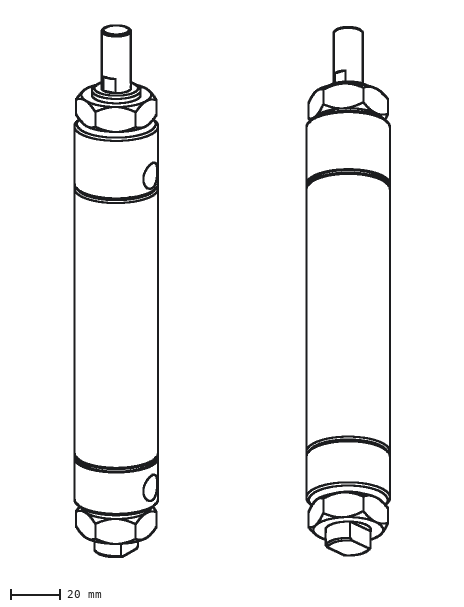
import cadquery as cq
import math

TOTAL_LENGTH = 225.5
STUB_BOTTOM = 0.0
REAR_NUT_BOTTOM = 8.0
BARREL_BOTTOM = 21.0
REAR_GROOVE_BOTTOM = 40.0
FRONT_GROOVE_TOP = 158.8
BARREL_TOP = 184.7
FRONT_NUT_BOTTOM = 186.5
NUT_HEIGHT = 10.8
COLLAR_TOP = 200.3
FRONT_NUT_TOP = FRONT_NUT_BOTTOM + NUT_HEIGHT

BARREL_RADIUS = 34.0 / 2
BARREL_CHAMFER = 1.01
GROOVE_WIDTH = 2.0
GROOVE_DEPTH = 1.0
GROOVE_FLOOR_WIDTH = 1.1

NECK_RADIUS = 9.2
COLLAR_RADIUS = 10.0
COLLAR_CHAMFER = 1.01
STUB_CHAMFER = 0.8
STUB_ACROSS_FLATS = 12.6

PORT_RADIUS = 5.5
PORT_DEPTH = 9.0
REAR_PORT_Z = 30.2
FRONT_PORT_Z = 165.5

ROD_RADIUS = 5.98
ROD_CHAMFER = 0.7
ROD_BOTTOM = FRONT_GROOVE_TOP
ROD_ACROSS_FLATS = 10.5
ROD_FLAT_TOP = 206.4

NUT_ACROSS_FLATS = 28.5
NUT_CORNER_DIAMETER = NUT_ACROSS_FLATS / math.cos(math.radians(30))


def cylinder(radius, bottom, top):
    """Upright cylinder on the Z axis."""
    return cq.Workplane("XY", origin=(0, 0, bottom)).circle(radius).extrude(top - bottom)


def flats_cutter(across_flats, radius, bottom, top):
    """Two side blocks that leave a pair of parallel flats facing +X and -X."""
    size = 4 * radius
    height = top - bottom
    outside = cq.Workplane("XY", origin=(0, 0, bottom)).rect(size, size).extrude(height)
    kept = cq.Workplane("XY", origin=(0, 0, bottom)).rect(across_flats, size).extrude(height)
    return outside.cut(kept)


def groove_cutter(shoulder_z, direction):
    """Ring that cuts a groove around the barrel: a square shoulder, a flat floor and a slanted far side.

    direction is +1 when the groove lies above its shoulder and -1 when it lies below.
    """
    floor_radius = BARREL_RADIUS - GROOVE_DEPTH
    floor_end = shoulder_z + direction * GROOVE_FLOOR_WIDTH
    slant_end = shoulder_z + direction * GROOVE_WIDTH
    return (
        cq.Workplane("XZ")
        .moveTo(BARREL_RADIUS, shoulder_z)
        .lineTo(floor_radius, shoulder_z)
        .lineTo(floor_radius, floor_end)
        .lineTo(BARREL_RADIUS, slant_end)
        .close()
        .revolve(360, (0, 0, 0), (0, 1, 0))
    )


def port_cutter(center_z):
    """Blind round port entering the barrel from +X."""
    port_floor = BARREL_RADIUS - PORT_DEPTH
    return cq.Workplane("YZ", origin=(port_floor, 0, center_z)).circle(PORT_RADIUS).extrude(2 * PORT_DEPTH)


def make_housing():
    """Barrel with grooves and ports, both necks, the front collar, and the rod bore."""
    barrel = cylinder(BARREL_RADIUS, BARREL_BOTTOM, BARREL_TOP)
    barrel = barrel.faces(">Z").chamfer(BARREL_CHAMFER)
    barrel = barrel.faces("<Z").chamfer(BARREL_CHAMFER)
    barrel = barrel.cut(groove_cutter(REAR_GROOVE_BOTTOM, 1))
    barrel = barrel.cut(groove_cutter(FRONT_GROOVE_TOP, -1))
    for port_z in (REAR_PORT_Z, FRONT_PORT_Z):
        barrel = barrel.cut(port_cutter(port_z))

    front_neck = cylinder(NECK_RADIUS, BARREL_TOP, FRONT_NUT_TOP)
    collar = cylinder(COLLAR_RADIUS, FRONT_NUT_TOP, COLLAR_TOP).faces(">Z").chamfer(COLLAR_CHAMFER)

    rear_neck = cylinder(NECK_RADIUS, STUB_BOTTOM, BARREL_BOTTOM).faces("<Z").chamfer(STUB_CHAMFER)
    rear_neck = rear_neck.cut(flats_cutter(STUB_ACROSS_FLATS, NECK_RADIUS, STUB_BOTTOM, REAR_NUT_BOTTOM))

    housing = barrel.union(front_neck).union(collar).union(rear_neck)
    return housing.cut(cylinder(ROD_RADIUS, ROD_BOTTOM, COLLAR_TOP))


def make_rod():
    """Piston rod with wrench flats facing +Y and -Y just above the collar."""
    rod = cylinder(ROD_RADIUS, ROD_BOTTOM, TOTAL_LENGTH).faces(">Z").chamfer(ROD_CHAMFER)
    flats = flats_cutter(ROD_ACROSS_FLATS, ROD_RADIUS, COLLAR_TOP, ROD_FLAT_TOP)
    return rod.cut(flats.rotate((0, 0, 0), (0, 0, 1), 90))


def make_nut(bottom):
    """Hexagon nut with flats facing +X and -X and corners chamfered at both ends."""
    corner_radius = NUT_CORNER_DIAMETER / 2
    corner_chamfer = corner_radius - NUT_ACROSS_FLATS / 2
    hexagon = (
        cq.Workplane("XY", origin=(0, 0, bottom))
        .transformed(rotate=(0, 0, 90))
        .polygon(6, NUT_CORNER_DIAMETER)
        .extrude(NUT_HEIGHT)
    )
    envelope = cylinder(corner_radius, bottom, bottom + NUT_HEIGHT)
    envelope = envelope.faces("<Z or >Z").chamfer(corner_chamfer)
    return hexagon.intersect(envelope).cut(cylinder(NECK_RADIUS, bottom, bottom + NUT_HEIGHT))


housing = make_housing()
rod = make_rod()
nuts = [make_nut(bottom) for bottom in (REAR_NUT_BOTTOM, FRONT_NUT_BOTTOM)]

result = cq.Compound.makeCompound([housing.val(), rod.val(), *[nut.val() for nut in nuts]])